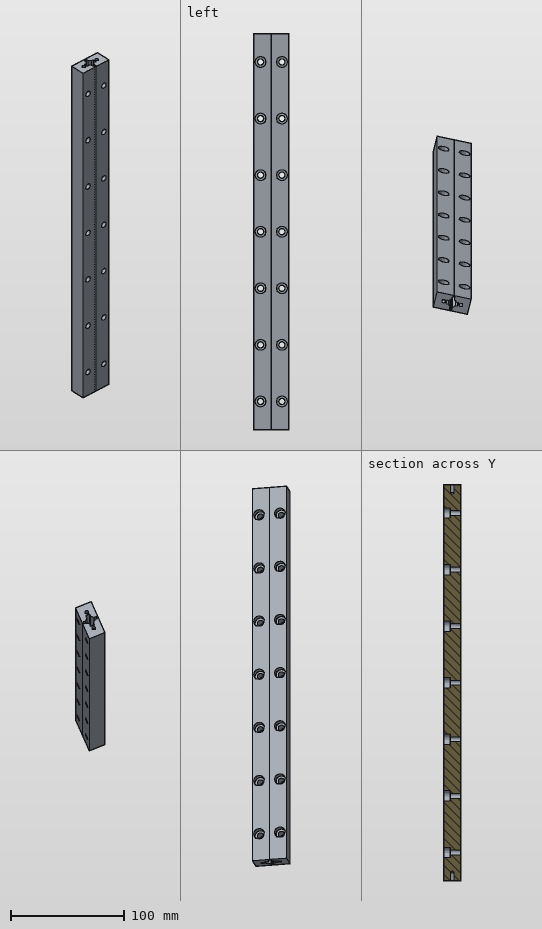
import cadquery as cq

length = 350.0
thickness = 15.0
rail_width = 15.5
seam_gap = 0.2
pair_width = 2 * rail_width + seam_gap

cage_gap = 1.92
cage_half_width = 6.3
vee_half_width = 5.0
relief_half_width = 1.8
relief_depth = 5.2

hole_count = 7
hole_pitch = length / hole_count
hole_spacing = 19.0
hole_diameter = 5.2
counterbore_diameter = 9.5
counterbore_depth = 5.5

end_hole_diameter = 3.0
end_hole_spacing = 15.8
end_hole_depth = 7.0
drill_tip_depth = end_hole_diameter / 2


def rail_bar():
    """Bar on the +Y side of the middle plane, with its vee groove facing -Y."""
    half_thickness = thickness / 2
    seam = seam_gap / 2
    cage = cage_gap / 2
    half_profile = [
        (half_thickness, pair_width / 2),
        (half_thickness, seam),
        (cage_half_width, seam),
        (cage_half_width, cage),
        (vee_half_width - cage, cage),
        (relief_half_width, vee_half_width - relief_half_width),
        (relief_half_width, relief_depth),
    ]
    mirrored = [(-x, y) for x, y in reversed(half_profile)]
    bar = cq.Workplane("XY").polyline(half_profile + mirrored).close().extrude(length)
    return bar.translate((0, 0, -length / 2))


def mounting_holes():
    """Counterbored through holes in one row along the rail."""
    y = hole_spacing / 2
    centers = [(y, (i - (hole_count - 1) / 2) * hole_pitch) for i in range(hole_count)]
    outer_face = cq.Workplane("YZ", origin=(-thickness / 2, 0, 0))
    shanks = outer_face.pushPoints(centers).circle(hole_diameter / 2).extrude(thickness)
    heads = outer_face.pushPoints(centers).circle(counterbore_diameter / 2).extrude(counterbore_depth)
    return shanks.union(heads)


def end_hole():
    """Drilled hole with a conical bottom in the +Z end face."""
    radius = end_hole_diameter / 2
    top = length / 2
    floor = top - end_hole_depth
    half_section = [(0, top), (radius, top), (radius, floor), (0, floor - drill_tip_depth)]
    drill = cq.Workplane("XZ").polyline(half_section).close().revolve(360, (0, 0), (0, 1))
    return drill.translate((0, end_hole_spacing / 2, 0))


def rail():
    """Complete rail on the +Y side."""
    upper_hole = end_hole()
    lower_hole = upper_hole.mirror("XY")
    return rail_bar().cut(mounting_holes()).cut(upper_hole).cut(lower_hole)


left_rail = rail()
rails = [left_rail, left_rail.mirror("XZ")]

result = cq.Compound.makeCompound([body.val() for body in rails])